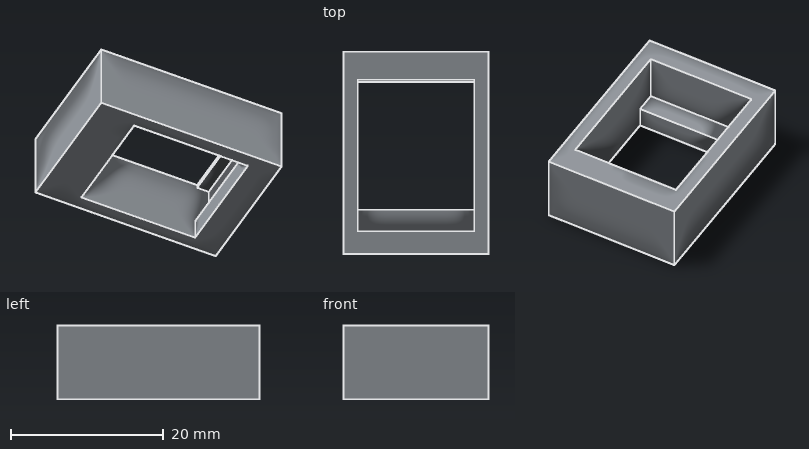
import cadquery as cq

outer_width = 19.0
outer_length = 26.5
outer_height = 9.7

side_wall = 1.9
front_ledge = 5.8
front_wall = 3.0
back_ledge = 4.0
back_wall = 2.0
back_lip = 3.7

ledge_height = 3.0
lip_thickness = 0.5
lip_underside = outer_height - lip_thickness


def opening(front, back, bottom, top):
    """Box-shaped void between the side walls, inset from the -Y and +Y faces."""
    width = outer_width - 2 * side_wall
    length = outer_length - front - back
    void = cq.Workplane("XY").box(width, length, top - bottom, centered=False)
    return void.translate((side_wall, front, bottom))


body = cq.Workplane("XY").box(outer_width, outer_length, outer_height, centered=False)
window = opening(front_ledge, back_ledge, 0, ledge_height)
undercut = opening(front_wall, back_wall, ledge_height, lip_underside)
mouth = opening(front_wall, back_lip, lip_underside, outer_height)

result = body.cut(window).cut(undercut).cut(mouth)